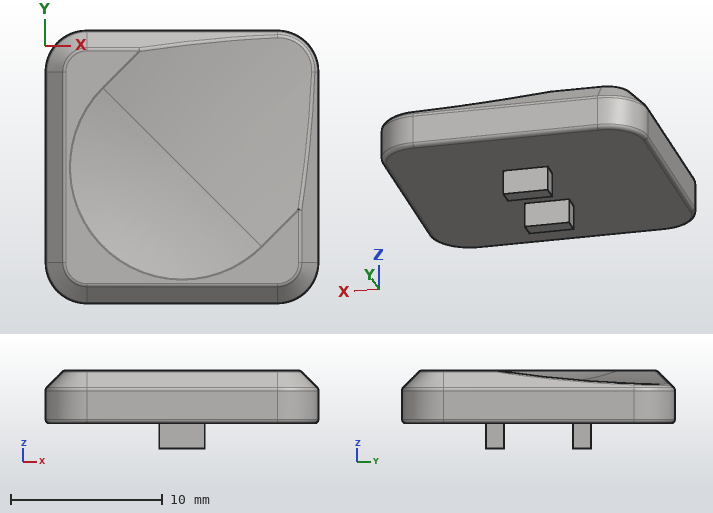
import cadquery as cq
import math

side = 18.0
total_height = 5.15
leg_height = 1.65
body_height = total_height - leg_height
corner_radius = 2.74
top_chamfer = 1.2
edge_fillet = 0.29

dish_radius = 7.4
dish_depth = 0.9
sphere_radius = (dish_radius**2 + dish_depth**2) / (2 * dish_depth)
sphere_center_z = body_height - dish_depth + sphere_radius
channel_length = side
channel_angle = 45.0
cutter_clearance = 0.36

leg_width = 3.0
leg_thickness = 1.2
leg_spacing = 5.75


def make_body():
    """Rounded square with its base at Z = 0."""
    block = cq.Workplane("XY").rect(side, side).extrude(body_height)
    block = block.edges("|Z").fillet(corner_radius)
    return block.faces(">Z").chamfer(top_chamfer)


def make_dish_cutter():
    """Half bowl joined to a channel of the same cross section, open along +X +Y."""
    rim_z = body_height + cutter_clearance
    rim_radius = math.sqrt(sphere_radius**2 - (sphere_center_z - rim_z) ** 2)
    floor_z = body_height - dish_depth
    half_angle = math.asin(rim_radius / sphere_radius) / 2
    middle_x = sphere_radius * math.sin(half_angle)
    middle_z = sphere_center_z - sphere_radius * math.cos(half_angle)

    bowl = (
        cq.Workplane("XZ")
        .moveTo(0, floor_z)
        .threePointArc((middle_x, middle_z), (rim_radius, rim_z))
        .lineTo(0, rim_z)
        .close()
        .revolve(180, (0, 0), (0, 1))
    )
    bowl = bowl.rotate((0, 0, 0), (0, 0, 1), 90)
    channel = (
        cq.Workplane("YZ")
        .moveTo(-rim_radius, rim_z)
        .threePointArc((0, floor_z), (rim_radius, rim_z))
        .close()
        .extrude(channel_length)
    )
    return bowl.union(channel).rotate((0, 0, 0), (0, 0, 1), channel_angle)


def make_legs():
    """Pegs spaced along Y, hanging from the base."""
    return (
        cq.Workplane("XY")
        .rarray(0.18, leg_spacing, 1, 2)
        .rect(leg_width, leg_thickness)
        .extrude(-leg_height)
    )


def round_base_and_shoulder(body):
    """Round the base edge and the lower edge of the chamfer."""
    shoulder_z = body_height - top_chamfer
    shoulder_band = cq.selectors.BoxSelector(
        (-side, -side, shoulder_z - edge_fillet / 2),
        (side, side, shoulder_z + edge_fillet / 2),
    )
    return body.edges("<Z").fillet(edge_fillet).edges(shoulder_band).fillet(edge_fillet)


def round_top_rim(body):
    """Round the top outline, the dish rim and the channel mouth across the chamfer."""
    top_edges = body.faces(">Z").edges().vals()
    lowest_mouth_z = body_height - dish_depth - edge_fillet / 2
    mouth_edges = [
        edge
        for edge in body.edges().vals()
        if edge.BoundingBox().zmin > lowest_mouth_z
        and edge.Center().z < body_height - edge_fillet / 4
        and max(edge.Center().x, edge.Center().y) > dish_radius
    ]
    return body.newObject(top_edges + mouth_edges).fillet(edge_fillet)


body = round_base_and_shoulder(make_body()).cut(make_dish_cutter())
result = round_top_rim(body).union(make_legs())